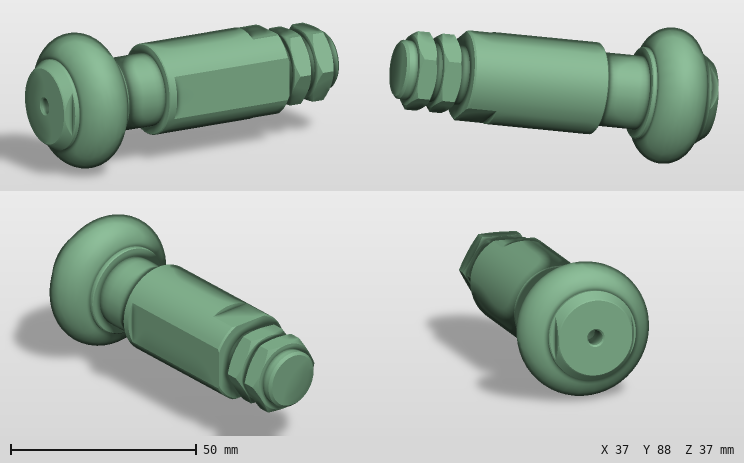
import cadquery as cq
import math


TOTAL_LENGTH = 88.0
HEAD_DIAMETER = 24.8
HEAD_LENGTH = 4.0
HEAD_CONE_LENGTH = 2.8
HEAD_FACE_DIAMETER = 21.3
HEAD_EDGE_CHAMFER = 0.3
HEAD_BACK_CHAMFER = 0.3
HEAD_FLATS_WIDTH = 21.1
HEAD_FLATS_LENGTH = 2.5
COLLAR_DIAMETER = 25.0
COLLAR_LENGTH = 1.2
COLLAR_CHAMFER = 0.3
STEM_DIAMETER = 20.0
THREAD_DIAMETER = 16.0
THREAD_CHAMFER = 0.7
CENTRE_HOLE_DIAMETER = 4.1
CENTRE_HOLE_MOUTH = 5.0
CENTRE_HOLE_DEPTH = 7.0
DRILL_POINT_ANGLE = 118.0

RING_DIAMETER = 37.0
RING_WIDTH = 14.3

SLEEVE_DIAMETER = 25.0
SLEEVE_FRONT = 32.0
SLEEVE_LENGTH = 38.2
SLEEVE_FLAT_DISTANCE = 11.0
WRENCH_FLATS_LENGTH = 8.4
TAB_LENGTH = 2.2
SLEEVE_FRONT_CHAMFER = 0.3
SLEEVE_BACK_CHAMFER = 0.4

NUT_ACROSS_FLATS = 19.0
NUT_THICKNESS = 5.0
NUT_BACKS = (78.0, 85.0)
NUT_CHAMFER_ANGLE = 30.0

COLLAR_FRONT = HEAD_LENGTH + RING_WIDTH
COLLAR_BACK = COLLAR_FRONT + COLLAR_LENGTH
SLEEVE_BACK = SLEEVE_FRONT + SLEEVE_LENGTH
CUTTER_SIZE = 2 * SLEEVE_DIAMETER


def revolve_about_y(profile):
    """Revolve a closed (radius, Y) wire about the Y axis."""
    return profile.revolve(360, (0, 0, 0), (0, 1, 0))


def block(x_min, y_min, y_max):
    """Cutting block beyond X = x_min, spanning the given Y range."""
    return (
        cq.Workplane("XY")
        .box(CUTTER_SIZE, y_max - y_min, CUTTER_SIZE, centered=(False, False, True))
        .translate((x_min, y_min, 0))
    )


def turn(body, angle):
    return body.rotate((0, 0, 0), (0, 1, 0), angle)


def make_centre_hole():
    """Drilled hole with a conical bottom and a 45 degree countersunk mouth."""
    radius = CENTRE_HOLE_DIAMETER / 2
    mouth_radius = CENTRE_HOLE_MOUTH / 2
    point_length = radius / math.tan(math.radians(DRILL_POINT_ANGLE / 2))
    return revolve_about_y(
        cq.Workplane("XY").polyline([
            (0, 0),
            (mouth_radius, 0),
            (radius, mouth_radius - radius),
            (radius, CENTRE_HOLE_DEPTH),
            (0, CENTRE_HOLE_DEPTH + point_length),
        ]).close()
    )


def make_stud():
    head_radius = HEAD_DIAMETER / 2
    face_radius = HEAD_FACE_DIAMETER / 2
    collar_radius = COLLAR_DIAMETER / 2
    stem_radius = STEM_DIAMETER / 2
    thread_radius = THREAD_DIAMETER / 2
    stud = revolve_about_y(
        cq.Workplane("XY").polyline([
            (0, 0),
            (face_radius - HEAD_EDGE_CHAMFER, 0),
            (face_radius, HEAD_EDGE_CHAMFER),
            (head_radius, HEAD_CONE_LENGTH),
            (head_radius, HEAD_LENGTH - HEAD_BACK_CHAMFER),
            (head_radius - HEAD_BACK_CHAMFER, HEAD_LENGTH),
            (stem_radius, HEAD_LENGTH),
            (stem_radius, COLLAR_FRONT),
            (collar_radius, COLLAR_FRONT),
            (collar_radius, COLLAR_BACK - COLLAR_CHAMFER),
            (collar_radius - COLLAR_CHAMFER, COLLAR_BACK),
            (stem_radius, COLLAR_BACK),
            (stem_radius, SLEEVE_BACK),
            (thread_radius, SLEEVE_BACK),
            (thread_radius, TOTAL_LENGTH - THREAD_CHAMFER),
            (thread_radius - THREAD_CHAMFER, TOTAL_LENGTH),
            (0, TOTAL_LENGTH),
        ]).close()
    )
    head_flat = block(HEAD_FLATS_WIDTH / 2, 0, HEAD_FLATS_LENGTH)
    for angle in (0, 180):
        stud = stud.cut(turn(head_flat, angle))
    return stud.cut(make_centre_hole())


def make_ring():
    """Ring with a half-round tread and a bore that fits the stem."""
    bore_radius = STEM_DIAMETER / 2
    outer_radius = RING_DIAMETER / 2
    tread_centre_radius = outer_radius - RING_WIDTH / 2
    return revolve_about_y(
        cq.Workplane("XY")
        .moveTo(bore_radius, HEAD_LENGTH)
        .lineTo(tread_centre_radius, HEAD_LENGTH)
        .threePointArc(
            (outer_radius, HEAD_LENGTH + RING_WIDTH / 2),
            (tread_centre_radius, COLLAR_FRONT),
        )
        .lineTo(bore_radius, COLLAR_FRONT)
        .close()
    )


def make_sleeve():
    """Sleeve with two wrench flats at the back and one long flat that leaves a tab at the front."""
    bore_radius = STEM_DIAMETER / 2
    radius = SLEEVE_DIAMETER / 2
    sleeve = revolve_about_y(
        cq.Workplane("XY").polyline([
            (bore_radius, SLEEVE_FRONT),
            (radius - SLEEVE_FRONT_CHAMFER, SLEEVE_FRONT),
            (radius, SLEEVE_FRONT + SLEEVE_FRONT_CHAMFER),
            (radius, SLEEVE_BACK - SLEEVE_BACK_CHAMFER),
            (radius - SLEEVE_BACK_CHAMFER, SLEEVE_BACK),
            (bore_radius, SLEEVE_BACK),
        ]).close()
    )
    wrench_flat = block(SLEEVE_FLAT_DISTANCE, SLEEVE_BACK - WRENCH_FLATS_LENGTH, SLEEVE_BACK)
    for angle in (90, 270):
        sleeve = sleeve.cut(turn(wrench_flat, angle))
    long_flat = block(SLEEVE_FLAT_DISTANCE, SLEEVE_FRONT + TAB_LENGTH, SLEEVE_BACK)
    return sleeve.cut(long_flat)


def make_nut(back):
    """Hexagon nut with corners on the X axis, chamfered on both faces."""
    corner_diameter = NUT_ACROSS_FLATS / math.cos(math.radians(30))
    hexagon = (
        cq.Workplane("XZ", origin=(0, back, 0))
        .polygon(6, corner_diameter)
        .extrude(NUT_THICKNESS)
    )
    bore_radius = THREAD_DIAMETER / 2
    face_radius = NUT_ACROSS_FLATS / 2
    corner_radius = corner_diameter / 2
    chamfer_length = (corner_radius - face_radius) * math.tan(math.radians(NUT_CHAMFER_ANGLE))
    front = back - NUT_THICKNESS
    chamfered_ring = revolve_about_y(
        cq.Workplane("XY").polyline([
            (bore_radius, front),
            (face_radius, front),
            (corner_radius, front + chamfer_length),
            (corner_radius, back - chamfer_length),
            (face_radius, back),
            (bore_radius, back),
        ]).close()
    )
    return hexagon.intersect(chamfered_ring)


stud = make_stud()
ring = make_ring()
sleeve = make_sleeve()
nuts = [make_nut(back) for back in NUT_BACKS]

result = cq.Compound.makeCompound([
    stud.solids().val(),
    ring.solids().val(),
    sleeve.solids().val(),
    *[nut.solids().val() for nut in nuts],
])